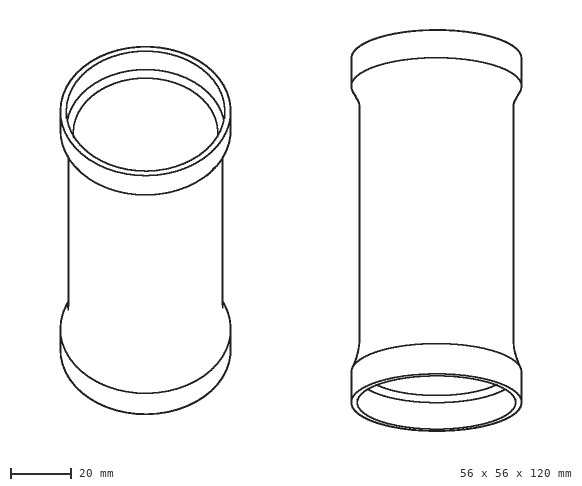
import cadquery as cq
import math

length = 120.0
collar_radius = 56.0 / 2
barrel_radius = 25.3
bore_radius = 23.8
socket_radius = 26.0

top_collar_height = 9.7
top_flare_angle = 28.0
top_blend_radius = 7.7
bottom_collar_height = 10.5
bottom_flare_angle = 22.0
bottom_blend_radius = 26.3

socket_depth = 9.2
seat_height = 1.7


def flare_points(collar_edge, inward, angle_degrees, blend_radius):
    """Collar corner, cone end, arc middle and barrel tangent point as (radius, z)."""
    angle = math.radians(angle_degrees)
    cone_end_radius = barrel_radius + blend_radius * (1 - math.cos(angle))
    cone_height = (collar_radius - cone_end_radius) / math.tan(angle)
    tangent_z = collar_edge + inward * (cone_height + blend_radius * math.sin(angle))

    def arc_point(turn):
        radius = barrel_radius + blend_radius * (1 - math.cos(turn))
        return radius, tangent_z - inward * blend_radius * math.sin(turn)

    return (collar_radius, collar_edge), arc_point(angle), arc_point(angle / 2), arc_point(0)


top = length / 2
bottom = -length / 2
top_corner, top_cone_end, top_arc_middle, top_tangent = flare_points(
    top - top_collar_height, -1, top_flare_angle, top_blend_radius
)
bottom_corner, bottom_cone_end, bottom_arc_middle, bottom_tangent = flare_points(
    bottom + bottom_collar_height, 1, bottom_flare_angle, bottom_blend_radius
)

wall_section = (
    cq.Workplane("XZ")
    .moveTo(socket_radius, top)
    .lineTo(collar_radius, top)
    .lineTo(*top_corner)
    .lineTo(*top_cone_end)
    .threePointArc(top_arc_middle, top_tangent)
    .lineTo(*bottom_tangent)
    .threePointArc(bottom_arc_middle, bottom_cone_end)
    .lineTo(*bottom_corner)
    .lineTo(collar_radius, bottom)
    .lineTo(socket_radius, bottom)
    .lineTo(socket_radius, bottom + socket_depth)
    .lineTo(bore_radius, bottom + socket_depth + seat_height)
    .lineTo(bore_radius, top - socket_depth - seat_height)
    .lineTo(socket_radius, top - socket_depth)
    .close()
)

result = wall_section.revolve(360, (0, 0, 0), (0, 1, 0))